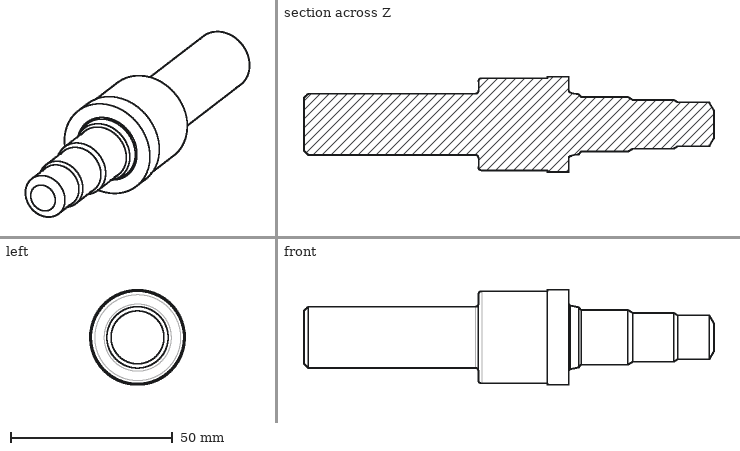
import cadquery as cq
import math


shank_radius = 9.5
shank_chamfer = 1.3
shank_root_fillet = 0.9

collar_start = 54.0
collar_radius = 14.3
collar_fillet = 1.0
flange_start = 75.4
flange_end = 82.0
flange_radius = 14.77

neck_root_radius = 10.3
neck_root_width = 0.4
neck_large_radius = 9.9
neck_small_radius = 9.35
neck_end = 85.1

large_step_start = 85.8
large_step_radius = 8.5
large_step_end = 100.3
middle_step_start = 101.8
middle_step_radius = 7.6
middle_step_end = 114.5
small_step_start = 115.7
small_step_radius = 6.85

total_length = 127.0
tip_chamfer_length = 1.5
tip_chamfer_angle = 60.0
tip_chamfer_drop = tip_chamfer_length * math.tan(math.radians(tip_chamfer_angle))

round_offset = 1 - math.sqrt(0.5)


def spindle_profile():
    """Half outline of the spindle: X along the axis, Z as the radius."""
    profile = cq.Workplane("XZ").moveTo(0, 0)

    profile = (
        profile.lineTo(0, shank_radius - shank_chamfer)
        .lineTo(shank_chamfer, shank_radius)
        .lineTo(collar_start - shank_root_fillet, shank_radius)
        .threePointArc(
            (
                collar_start - shank_root_fillet * round_offset,
                shank_radius + shank_root_fillet * round_offset,
            ),
            (collar_start, shank_radius + shank_root_fillet),
        )
    )

    profile = (
        profile.lineTo(collar_start, collar_radius - collar_fillet)
        .threePointArc(
            (
                collar_start + collar_fillet * round_offset,
                collar_radius - collar_fillet * round_offset,
            ),
            (collar_start + collar_fillet, collar_radius),
        )
        .lineTo(flange_start, collar_radius)
        .lineTo(flange_start, flange_radius)
        .lineTo(flange_end, flange_radius)
    )

    profile = (
        profile.lineTo(flange_end, neck_root_radius)
        .lineTo(flange_end + neck_root_width, neck_large_radius)
        .lineTo(neck_end, neck_small_radius)
    )

    profile = (
        profile.lineTo(large_step_start, large_step_radius)
        .lineTo(large_step_end, large_step_radius)
        .lineTo(middle_step_start, middle_step_radius)
        .lineTo(middle_step_end, middle_step_radius)
        .lineTo(small_step_start, small_step_radius)
        .lineTo(total_length - tip_chamfer_length, small_step_radius)
        .lineTo(total_length, small_step_radius - tip_chamfer_drop)
        .lineTo(total_length, 0)
    )
    return profile.close()


result = spindle_profile().revolve(360, (0, 0, 0), (1, 0, 0))